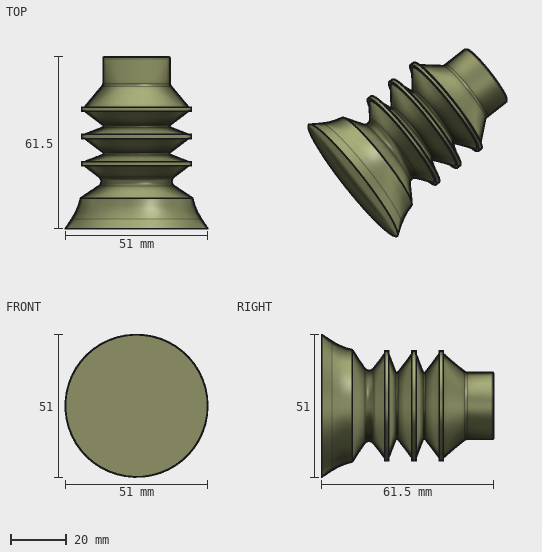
import cadquery as cq

total_length = 61.5

lip_radius = 51.0 / 2
lip_cone_top = (23.1, 3.55)
lip_arc_middle = (21.35, 6.9)
lip_shoulder = (20.05, 10.95)

neck_lower = (13.4, 15.4)
neck_middle = (12.65, 17.05)
neck_upper = (13.4, 18.6)

rim_radius = 39.3 / 2
rim_thickness = 1.5
rim_count = 3
rim_pitch = 9.8
first_rim_bottom = 22.5
rim_root_radius = 18.6
fold_radius = 11.8
fold_edge_radius = 12.05
fold_lower_height = 2.5
fold_width = 0.85

stem_radius = 24.0 / 2
stem_bottom = 52.0
stem_edge_round = 0.6
shoulder_cone_top = (12.3, 51.05)
shoulder_arc_middle = (12.05, 51.55)


def add_lip_and_neck(outline):
    """Trace from the axis across the sealing face and up to the neck."""
    return (
        outline.moveTo(0, 0)
        .lineTo(lip_radius, 0)
        .lineTo(*lip_cone_top)
        .threePointArc(lip_arc_middle, lip_shoulder)
        .lineTo(*neck_lower)
        .threePointArc(neck_middle, neck_upper)
    )


def add_rim(outline, bottom):
    """Trace one square-edged rim."""
    top = bottom + rim_thickness
    return (
        outline.lineTo(rim_root_radius, bottom)
        .lineTo(rim_radius, bottom)
        .lineTo(rim_radius, top)
        .lineTo(rim_root_radius, top)
    )


def add_fold(outline, rim_top):
    """Trace the inward fold above a rim, rounded at its bottom."""
    fold_start = rim_top + fold_lower_height
    return (
        outline.lineTo(fold_edge_radius, fold_start)
        .threePointArc(
            (fold_radius, fold_start + fold_width / 2),
            (fold_edge_radius, fold_start + fold_width),
        )
    )


def add_stem(outline):
    """Trace the shoulder cone and the stem, and close along the axis."""
    return (
        outline.lineTo(*shoulder_cone_top)
        .threePointArc(shoulder_arc_middle, (stem_radius, stem_bottom))
        .lineTo(stem_radius, total_length)
        .lineTo(0, total_length)
        .close()
    )


profile = add_lip_and_neck(cq.Workplane("XY"))
for index in range(rim_count):
    rim_bottom = first_rim_bottom + index * rim_pitch
    profile = add_rim(profile, rim_bottom)
    if index < rim_count - 1:
        profile = add_fold(profile, rim_bottom + rim_thickness)
profile = add_stem(profile)

result = profile.revolve(360, (0, 0, 0), (0, 1, 0))
result = result.faces(">Y").edges().fillet(stem_edge_round)